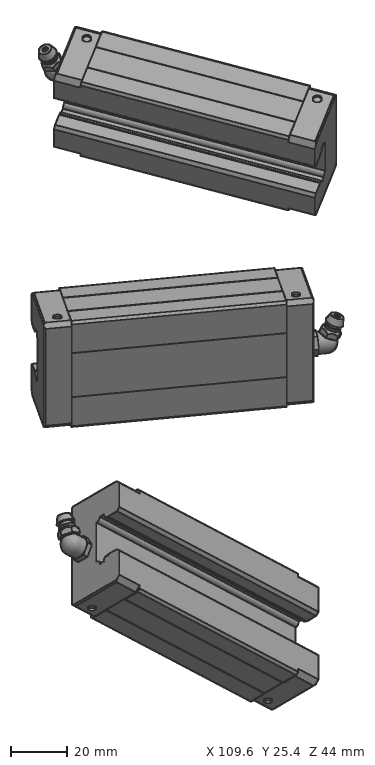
import cadquery as cq
import math

total_length = 109.6
body_length = 97.9
cap_length = 10.0
block_height = 25.4
block_width = 44.0
block_chamfer = 1.0

recess_depth = 0.2
side_recess_start = 7.8
side_recess_end = 17.3
back_recess_width = 18.2

cap_inset = 0.3
cap_front_chamfer = 2.0
cap_back_chamfer = 1.6
cap_end_chamfer = 0.5

port_diameter = 3.2
port_depth = 1.0
port_from_end = 5.7
port_height = 20.2

slot_depth = 11.8
slot_mouth_half = 8.1
slot_mouth_chamfer = 1.2
lip_end = 5.9
lip_half = 8.3
groove_half = 10.1
groove_near = 8.1
groove_far = 10.2
lip_radius = slot_depth - groove_far

nipple_height = 18.9
base_flats = 8.1
base_thickness = 2.0
elbow_radius = base_flats / 2
nipple_tilt = 21.0

nut_start = 3.2
nut_end = 6.1
nut_flats = 7.0
nut_bevel_start = 4.8
collar_end = 7.0
collar_radius = 3.0
neck_radius = 2.2
head_start = 8.4
head_end = 11.2
head_base_radius = 3.4
head_tip_radius = 2.4
bore_radius = 1.1
bore_depth = 1.0
ball_depth = 0.1
ball_radius = bore_radius

tilt_angle = math.radians(nipple_tilt)
tip_reach = head_end * math.sin(tilt_angle) + head_tip_radius * math.cos(tilt_angle)
elbow_length = total_length - body_length - base_thickness - tip_reach

body_end = total_length / 2
body_start = body_end - body_length
block_start = body_start + cap_length
block_length = body_length - 2 * cap_length


def beveled_outline(height, width, front_bevel, back_bevel):
    """Closed outline in the YZ plane of a rectangle with four beveled corners."""
    half = width / 2
    upper = [
        (0, half - front_bevel),
        (front_bevel, half),
        (height - back_bevel, half),
        (height, half - back_bevel),
    ]
    lower = [(y, -z) for y, z in reversed(upper)]
    return cq.Workplane("YZ").polyline(upper + lower).close()


def make_block():
    outline = beveled_outline(block_height, block_width, block_chamfer, block_chamfer)
    block = outline.extrude(block_length)
    side_recess = cq.Workplane("XY").box(
        block_length, side_recess_end - side_recess_start, recess_depth, centered=False
    ).translate((0, side_recess_start, block_width / 2 - recess_depth))
    back_recess = cq.Workplane("XY").box(
        block_length, recess_depth, back_recess_width, centered=(False, False, True)
    ).translate((0, block_height - recess_depth, 0))
    block = block.cut(side_recess).cut(side_recess.mirror("XY")).cut(back_recess)
    return block.translate((block_start, 0, 0))


def make_cap():
    """End cap with its outer face at X = 0, reaching towards +X."""
    height = block_height - cap_inset
    width = block_width - 2 * cap_inset
    cap = cq.Workplane("XY").box(cap_length, height, width, centered=(False, False, True))
    cap = cap.faces("<X").edges("|Y or >Y").chamfer(cap_end_chamfer)
    outline = beveled_outline(height, width, cap_front_chamfer, cap_back_chamfer)
    cap = cap.intersect(outline.extrude(cap_length))

    port = cq.Workplane("XY").circle(port_diameter / 2).extrude(port_depth)
    port = port.translate((port_from_end, port_height, width / 2 - port_depth))
    return cap.cut(port).cut(port.mirror("XY"))


def make_slot():
    """Rail slot: each side has a flared mouth and a narrow groove between rounded lips."""
    bend = lip_radius * math.sqrt(0.5)
    lip_top = lip_half + lip_radius
    near_centre = groove_near - lip_radius
    half_slot = (
        cq.Workplane("YZ")
        .moveTo(0, 0)
        .lineTo(0, slot_mouth_half + slot_mouth_chamfer)
        .lineTo(slot_mouth_chamfer, slot_mouth_half)
        .lineTo(lip_end, slot_mouth_half)
        .lineTo(near_centre, lip_half)
        .threePointArc((near_centre + bend, lip_top - bend), (groove_near, lip_top))
        .lineTo(groove_near, groove_half)
        .lineTo(groove_far, groove_half)
        .lineTo(groove_far, lip_top)
        .threePointArc((slot_depth - bend, lip_top - bend), (slot_depth, lip_half))
        .lineTo(slot_depth, 0)
        .close()
        .extrude(body_length)
        .translate((body_start, 0, 0))
    )
    return half_slot.union(half_slot.mirror("XY"))


def make_hexagon(plane, flats):
    """Hexagon with two corners on the horizontal axis of its plane."""
    return cq.Workplane(plane).polygon(6, flats / math.cos(math.pi / 6))


def turn(outline):
    """Solid of revolution about Z from (radius, height) points."""
    return cq.Workplane("XZ").polyline(outline).close().revolve(360, (0, 0), (0, 1))


def make_nut():
    """Hexagon nut whose upper corners are turned down to a cone."""
    corner_radius = nut_flats / 2 / math.cos(math.pi / 6)
    nut = make_hexagon("XY", nut_flats).extrude(nut_end - nut_start).translate((0, 0, nut_start))
    envelope = turn([
        (0, nut_start),
        (corner_radius, nut_start),
        (corner_radius, nut_bevel_start),
        (collar_radius, nut_end),
        (0, nut_end),
    ])
    return nut.intersect(envelope)


def make_nipple_spout():
    """Upright spout, its axis on Z with the elbow ball centred at the origin."""
    turned = turn([
        (0, 0),
        (collar_radius, 0),
        (collar_radius, collar_end),
        (neck_radius, collar_end),
        (neck_radius, head_start),
        (head_base_radius, head_start),
        (head_tip_radius, head_end),
        (0, head_end),
    ])
    bore = cq.Workplane("XY").circle(bore_radius).extrude(bore_depth)
    bore = bore.translate((0, 0, head_end - bore_depth))
    ball = cq.Workplane("XY").sphere(ball_radius)
    ball = ball.translate((0, 0, head_end - ball_depth - ball_radius))
    return turned.union(make_nut()).cut(bore.cut(ball))


def make_nipple():
    """Elbow nipple with its mounting face at X = 0, reaching towards -X."""
    ball_centre = -(base_thickness + elbow_length)
    base = make_hexagon("YZ", base_flats).extrude(-base_thickness)
    bend = elbow_radius * math.sqrt(0.5)
    elbow = (
        cq.Workplane("XY")
        .moveTo(0, 0)
        .lineTo(0, elbow_radius)
        .lineTo(ball_centre, elbow_radius)
        .threePointArc((ball_centre - bend, bend), (ball_centre - elbow_radius, 0))
        .close()
        .revolve(360, (0, 0), (1, 0))
    )
    spout = make_nipple_spout().rotate((0, 0, 0), (0, 1, 0), -nipple_tilt)
    spout = spout.translate((ball_centre, 0, 0))
    return base.union(elbow).union(spout)


cap = make_cap()
near_cap = cap.translate((body_start, 0, 0))
far_cap = cap.mirror("YZ").translate((body_end, 0, 0))
carriage = make_block().union(near_cap).union(far_cap).cut(make_slot())
nipple = make_nipple().translate((body_start, nipple_height, 0))

result = carriage.union(nipple)